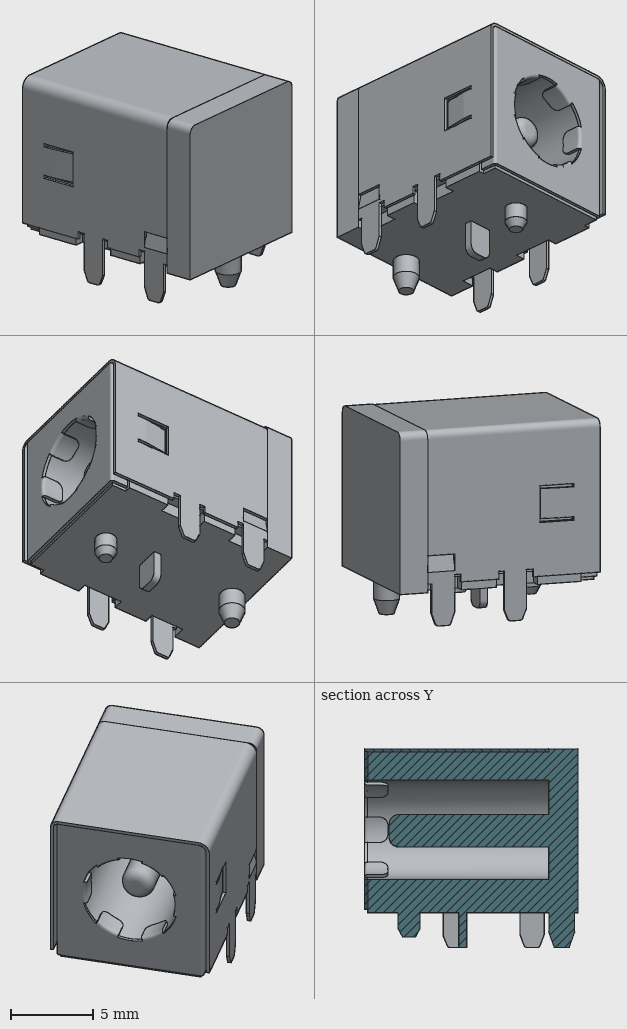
import cadquery as cq
import math


LENGTH = 13.0
WIDTH = 10.01
HEIGHT = 10.0
LEG_DEPTH = 2.1
SHEET = 0.2
CUT_MARGIN = 0.13
HALF_WIDTH = WIDTH / 2

SHELL_LENGTH = 11.2
SHELL_RADIUS_LEFT = 0.5
SHELL_RADIUS_RIGHT = 0.72
SKIRT_BOTTOM = 0.53
NOTCH_TOP = 1.01
LEG_TAPER_INSET = 0.3
LEG_TIP_RADIUS = 0.2
LEGS = [
    (4.78, 6.23, 4.33, 6.59, 0.72),
    (9.45, 10.95, 9.04, 10.95, 0.8),
]

TONGUE_SLOT_START = 1.69
TONGUE_SLOT_END = 3.91
TONGUE_SLOT_BOTTOM = 3.86
TONGUE_SLOT_TOP = 6.14
TONGUE_SLOT_WIDTH = 0.21
TONGUE_END_GAP = 0.1
TONGUE_BEND = 2.28
TONGUE_BEND_RADIUS = 1.56
TONGUE_SET_IN = 0.17
POCKET_DEPTH = 0.2

WINDOW_START = 9.45
WINDOW_BOTTOM = 1.26
WINDOW_TOP = 2.29
WEDGE_TOP = 2.18

BLOCK_RADIUS = 0.5
RECESSES = [(4.0, 6.68), (8.95, SHELL_LENGTH)]
RECESS_TOP = 0.85
RECESS_DEPTH = 0.65
BORE_DIAMETER = 6.0
BORE_HEIGHT = 5.06
PIN_DIAMETER = 2.0
PIN_HEIGHT = 5.0
PIN_START = 1.5
PIN_TIP_RADIUS = 0.6
TERMINAL_WIDTH = 1.6
TERMINAL_THICKNESS = 0.5
TERMINAL_REAR = 6.23
TERMINAL_TIP_RADIUS = 0.52
PEGS = [
    (2.72, 1.35, 0.8, 0.96, 1.47),
    (12.0, 1.6, 0.92, 1.17, LEG_DEPTH),
]

PLATE_BOTTOM = 0.22
FLANGE_END = 1.17
FLANGE_HALF_WIDTH = HALF_WIDTH - 2 * SHEET
FINGER_COUNT = 6
FINGER_WIDTH = 1.53
FINGER_END = 1.43
FINGER_CORNER = 0.5


def box(x_span, y_span, z_span):
    """Box between the given limits."""
    size = [span[1] - span[0] for span in (x_span, y_span, z_span)]
    return cq.Workplane().box(*size, centered=False).translate((x_span[0], y_span[0], z_span[0]))


def arch(x_start, x_end, inset, bottom, radius_left, radius_right):
    """Block whose two upper edges are rounded, with its sides and top set in by `inset`."""
    half = HALF_WIDTH - inset
    block = box((x_start, x_end), (-half, half), (bottom, HEIGHT - inset))
    block = block.edges("|X and >Z and >Y").fillet(radius_left - inset)
    return block.edges("|X and >Z and <Y").fillet(radius_right - inset)


def shell_cavity(x_start, x_end, bottom):
    """Space inside the shell."""
    return arch(x_start, x_end, SHEET, bottom, SHELL_RADIUS_LEFT, SHELL_RADIUS_RIGHT)


def rod(x_start, x_end, diameter, height):
    """Round rod along X, centred across the width."""
    plane = cq.Workplane("YZ", origin=(x_start, 0, height))
    return plane.circle(diameter / 2).extrude(x_end - x_start)


def on_both_sides(feature):
    """The feature of the -Y side together with its mirror image."""
    return feature.union(feature.mirror("XZ"))


def side_outline(points, outside, inside):
    """XZ outline extruded through one side, between two insets from the -Y face."""
    plane = cq.Workplane("XZ", origin=(0, -HALF_WIDTH + outside, 0))
    return plane.polyline(points).close().extrude(outside - inside)


def leg(start, end, taper):
    """Solder leg with a tapered, rounded tip."""
    points = [
        (start, NOTCH_TOP),
        (end, NOTCH_TOP),
        (end, taper - LEG_DEPTH),
        (end - LEG_TAPER_INSET, -LEG_DEPTH),
        (start + LEG_TAPER_INSET, -LEG_DEPTH),
        (start, taper - LEG_DEPTH),
    ]
    return side_outline(points, 0, SHEET).edges("|Y and <Z").fillet(LEG_TIP_RADIUS)


def tongue():
    """Latch tongue bent inward from its root to its free end."""
    tongue_end = TONGUE_SLOT_END - TONGUE_END_GAP
    bottom = TONGUE_SLOT_BOTTOM + TONGUE_SLOT_WIDTH
    top = TONGUE_SLOT_TOP - TONGUE_SLOT_WIDTH
    outer = -HALF_WIDTH
    inner = outer + SHEET
    outline = cq.Workplane("XY", origin=(0, 0, bottom)).polyline([
        (TONGUE_SLOT_START, outer),
        (TONGUE_BEND, outer),
        (tongue_end, outer + TONGUE_SET_IN),
        (tongue_end, inner + TONGUE_SET_IN),
        (TONGUE_BEND, inner),
        (TONGUE_SLOT_START, inner),
    ])
    blade = outline.close().extrude(top - bottom)
    bend_zone = cq.selectors.BoxSelector(
        (TONGUE_BEND - SHEET, outer - SHEET, bottom),
        (TONGUE_BEND + SHEET, inner + SHEET, top),
    )
    return blade.edges("|Z").edges(bend_zone).fillet(TONGUE_BEND_RADIUS)


def make_shell():
    outside = arch(0, SHELL_LENGTH, 0, SKIRT_BOTTOM, SHELL_RADIUS_LEFT, SHELL_RADIUS_RIGHT)
    shell = outside.cut(shell_cavity(0, SHELL_LENGTH, SKIRT_BOTTOM - CUT_MARGIN))
    side = (-HALF_WIDTH, -HALF_WIDTH + SHEET)
    for start, end, notch_start, notch_end, taper in LEGS:
        notch = box((notch_start, notch_end), side, (SKIRT_BOTTOM, NOTCH_TOP))
        shell = shell.cut(on_both_sides(notch)).union(on_both_sides(leg(start, end, taper)))
    slot = box((TONGUE_SLOT_START, TONGUE_SLOT_END), side, (TONGUE_SLOT_BOTTOM, TONGUE_SLOT_TOP))
    shell = shell.cut(on_both_sides(slot)).union(on_both_sides(tongue()))
    window = box((WINDOW_START, SHELL_LENGTH), side, (WINDOW_BOTTOM, WINDOW_TOP))
    return shell.cut(on_both_sides(window))


def make_fingers():
    """Spring fingers that roll over the rim of the opening and lie on the bore."""
    outer = BORE_DIAMETER / 2
    inner = outer - SHEET
    roll_middle = (SHEET * (1 - math.sqrt(0.5)), outer - SHEET * math.sqrt(0.5))
    profile = cq.Workplane("XY").moveTo(0, outer).threePointArc(roll_middle, (SHEET, inner))
    profile = profile.lineTo(FINGER_END, inner).lineTo(FINGER_END, outer).close()
    sleeve = profile.revolve(360, (0, 0, 0), (1, 0, 0))
    strip = box((0, FINGER_END), (-FINGER_WIDTH / 2, FINGER_WIDTH / 2), (0, BORE_DIAMETER))
    strip = strip.edges("|Z and >X").fillet(FINGER_CORNER)
    finger = sleeve.intersect(strip)
    finger = finger.translate((0, 0, BORE_HEIGHT))
    axis_start = (0, 0, BORE_HEIGHT)
    axis_end = (1, 0, BORE_HEIGHT)
    step = 360 / FINGER_COUNT
    return [finger.rotate(axis_start, axis_end, 90 + index * step) for index in range(FINGER_COUNT)]


def make_spring_plate():
    half = FLANGE_HALF_WIDTH
    plate = box((0, FLANGE_END), (-half, half), (PLATE_BOTTOM, HEIGHT - SHEET))
    plate = plate.edges("|Z and <X").fillet(SHEET)
    inner_half = half - SHEET
    plate = plate.cut(box((SHEET, FLANGE_END), (-inner_half, inner_half), (PLATE_BOTTOM, HEIGHT)))
    plate = plate.cut(rod(0, SHEET, BORE_DIAMETER, BORE_HEIGHT))
    plate = plate.intersect(shell_cavity(0, FLANGE_END, 0))
    for finger in make_fingers():
        plate = plate.union(finger)
    return plate


def wedge():
    """Ramp that fills the rear window of the shell and rises toward its lower edge."""
    outer = -HALF_WIDTH
    inner = outer + SHEET
    outline = cq.Workplane("YZ", origin=(WINDOW_START, 0, 0)).polyline([
        (inner, WEDGE_TOP),
        (outer, WINDOW_BOTTOM),
        (inner, WINDOW_BOTTOM),
    ])
    return outline.close().extrude(SHELL_LENGTH - WINDOW_START)


def peg(x, diameter, tip_diameter, straight, depth):
    """Round peg with a conical tip under the housing."""
    outline = cq.Workplane("XZ").polyline([
        (0, 0),
        (diameter / 2, 0),
        (diameter / 2, -straight),
        (tip_diameter / 2, -depth),
        (0, -depth),
    ])
    return outline.close().revolve(360, (0, 0, 0), (0, 1, 0)).translate((x, 0, 0))


def terminal():
    """Flat terminal with a rounded tip under the housing."""
    half = TERMINAL_WIDTH / 2
    front = TERMINAL_REAR - TERMINAL_THICKNESS
    blade = box((front, TERMINAL_REAR), (-half, half), (-LEG_DEPTH, 0))
    return blade.edges("|X and <Z").fillet(TERMINAL_TIP_RADIUS)


def make_housing():
    inner = HALF_WIDTH - SHEET
    housing = shell_cavity(SHEET, SHELL_LENGTH, 0)
    front_half = FLANGE_HALF_WIDTH - SHEET
    step = box((SHEET, FLANGE_END), (-inner, -front_half), (0, HEIGHT))
    housing = housing.cut(on_both_sides(step))
    for start, end in RECESSES:
        recess = box((start, end), (-inner, RECESS_DEPTH - inner), (0, RECESS_TOP))
        housing = housing.cut(on_both_sides(recess))
    pocket = box(
        (TONGUE_SLOT_START, TONGUE_SLOT_END),
        (-inner, POCKET_DEPTH - inner),
        (TONGUE_SLOT_BOTTOM, TONGUE_SLOT_TOP),
    )
    housing = housing.cut(on_both_sides(pocket))
    housing = housing.cut(rod(SHEET, SHELL_LENGTH, BORE_DIAMETER, BORE_HEIGHT))
    housing = housing.union(arch(SHELL_LENGTH, LENGTH, 0, 0, BLOCK_RADIUS, BLOCK_RADIUS))
    pin = rod(PIN_START, SHELL_LENGTH, PIN_DIAMETER, PIN_HEIGHT)
    housing = housing.union(pin.faces("<X").edges().fillet(PIN_TIP_RADIUS))
    housing = housing.union(on_both_sides(wedge())).union(terminal())
    for peg_sizes in PEGS:
        housing = housing.union(peg(*peg_sizes))
    return housing


shell = make_shell()
spring_plate = make_spring_plate()
housing = make_housing()
result = cq.Compound.makeCompound([
    housing.solids().val(),
    shell.solids().val(),
    spring_plate.solids().val(),
])